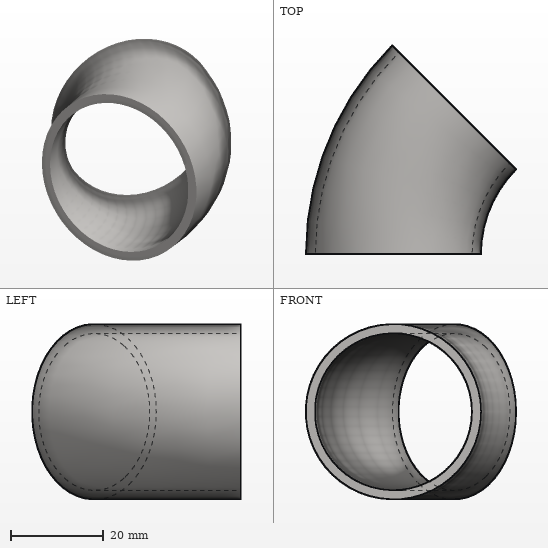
import cadquery as cq

outer_diameter = 38.0
wall_thickness = 2.0
bend_radius = 45.0
bend_angle = 45.0

inner_diameter = outer_diameter - 2 * wall_thickness


def pipe_section():
    """Ring-shaped pipe section on the inlet face, centred on the origin."""
    return cq.Workplane("XZ").circle(outer_diameter / 2).circle(inner_diameter / 2)


def elbow():
    """Pipe section swept about a bend axis pointing along -Z, so it turns from +Y towards +X."""
    axis_start = (bend_radius, 0)
    axis_end = (bend_radius, -1)
    return pipe_section().revolve(bend_angle, axis_start, axis_end)


result = elbow()